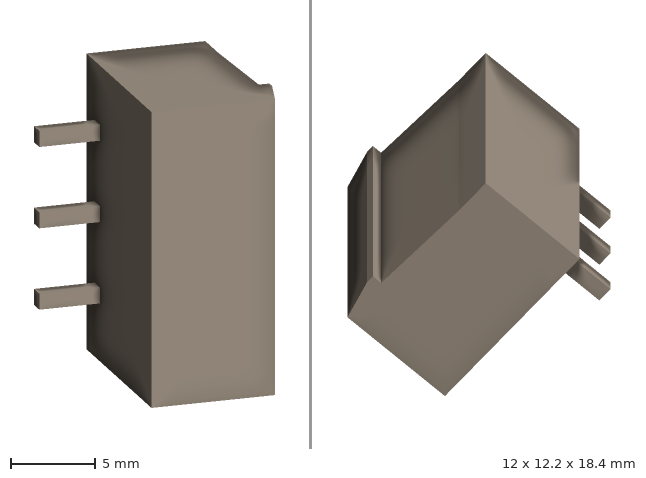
import cadquery as cq

width = 12.0
height = 18.44
total_depth = 12.2
low_depth = 7.45
lip_base_depth = 7.75
lip_depth = 8.4
ramp_start = 2.4
lip_start = 9.0
lip_crest_width = 0.5

pin_count = 3
pin_side = 1.0
pin_length = total_depth - lip_depth
pin_pitch = 5.07
pin_x = 2.0
pin_row_z = 9.18


def make_housing():
    """Block whose back face ramps up to a wedge-shaped lip."""
    profile = [
        (0, 0),
        (width, 0),
        (width, lip_base_depth),
        (lip_start + lip_crest_width, lip_depth),
        (lip_start, lip_depth),
        (lip_start, lip_base_depth),
        (ramp_start, low_depth),
        (0, low_depth),
    ]
    return cq.Workplane("XY").polyline(profile).close().extrude(height)


def make_pin(z):
    """Square pin centred at height z, projecting from the mounting face toward -Y."""
    return (
        cq.Workplane("XY")
        .box(pin_side, pin_length, pin_side)
        .translate((pin_x, -pin_length / 2, z))
    )


result = make_housing()
for index in range(pin_count):
    offset = (index - (pin_count - 1) / 2) * pin_pitch
    result = result.union(make_pin(pin_row_z + offset))